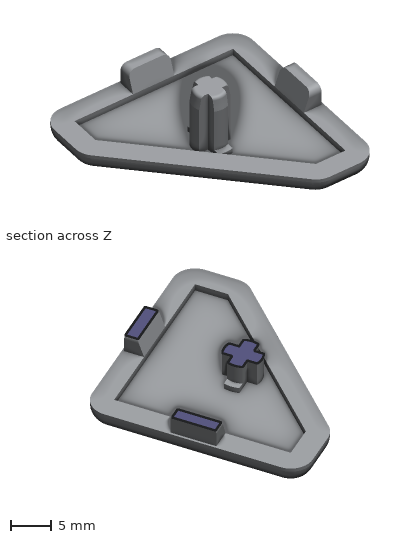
import cadquery as cq
import math

plate_size = 30.0
plate_thickness = 3.0
underside_radius = 2.5
rim_width = 3.0
pocket_short_side = 4.46
pocket_depth = 1.0
pocket_floor = plate_thickness - pocket_depth
pocket_half = plate_size / 2 - rim_width

clip_length = 6.25
clip_height = 3.0
clip_setback = 0.3
clip_draft_angle = 20.0
clip_corner_radius = 1.0

post_top = 11.0
post_radius = 2.6
arm_width = 2.1
taper_height = 2.0
taper_angle = 10.0
tip_fillet = 0.5

foot_radius = 3.5
foot_height = 0.8


def pocket_outline(z):
    """Five-sided pocket outline on a plane at height z."""
    diagonal_end = pocket_half - pocket_short_side
    return (
        cq.Workplane("XY", origin=(0, 0, z))
        .moveTo(-pocket_half, -pocket_half)
        .lineTo(-diagonal_end, -pocket_half)
        .lineTo(pocket_half, diagonal_end)
        .lineTo(pocket_half, pocket_half)
        .lineTo(-pocket_half, pocket_half)
        .close()
    )


def make_plate():
    """Plate with a rounded underside and a shallow pocket inside the rim."""
    blank = pocket_outline(0).offset2D(rim_width, "arc").extrude(plate_thickness)
    blank = blank.faces("<Z").edges().fillet(underside_radius)
    pocket = pocket_outline(pocket_floor).extrude(pocket_depth)
    return blank.cut(pocket)


def make_clip():
    """Clip on the -X rim: upright outer face, sloped inner face, rounded ends."""
    outer_x = -plate_size / 2 + clip_setback
    clip_top = plate_thickness + clip_height
    inner_top_x = -pocket_half - clip_height * math.tan(math.radians(clip_draft_angle))
    return (
        cq.Workplane("XZ")
        .moveTo(outer_x, plate_thickness)
        .lineTo(-pocket_half, plate_thickness)
        .lineTo(inner_top_x, clip_top)
        .lineTo(outer_x, clip_top)
        .close()
        .extrude(clip_length / 2, both=True)
        .faces(">Z")
        .edges("|X")
        .fillet(clip_corner_radius)
    )


def make_arm(length, height):
    """Bar along X, centred on the post axis and standing on the pocket floor."""
    return (
        cq.Workplane("XY", origin=(0, 0, pocket_floor))
        .rect(length, arm_width)
        .extrude(height)
    )


def make_post():
    """Round tapered post trimmed to a cross."""
    post_height = post_top - pocket_floor
    tip_radius = post_radius - taper_height * math.tan(math.radians(taper_angle))
    body = (
        cq.Workplane("XZ")
        .moveTo(0, pocket_floor)
        .lineTo(post_radius, pocket_floor)
        .lineTo(post_radius, post_top - taper_height)
        .lineTo(tip_radius, post_top)
        .lineTo(0, post_top)
        .close()
        .revolve(360, (0, 0, 0), (0, 1, 0))
        .faces(">Z")
        .edges()
        .fillet(tip_fillet)
    )
    arm = make_arm(2 * post_radius, post_height)
    cross = arm.union(arm.rotate((0, 0, 0), (0, 0, 1), 90))
    return body.intersect(cross)


def make_foot():
    """Low bar along X with round ends concentric with the post."""
    disc = cq.Workplane("XY", origin=(0, 0, pocket_floor)).circle(foot_radius).extrude(foot_height)
    return disc.intersect(make_arm(2 * foot_radius, foot_height))


left_clip = make_clip()
back_clip = left_clip.rotate((0, 0, 0), (0, 0, 1), -90)

result = make_plate().union(left_clip).union(back_clip).union(make_foot()).union(make_post())